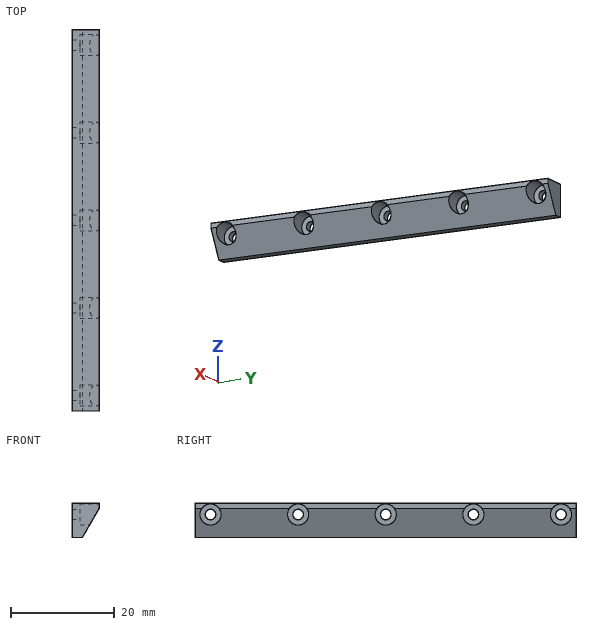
import cadquery as cq
import math

length = 74.0
height = 6.66
bottom_width = 2.0
lip_height = 1.0
slope_angle = 30.0
top_width = bottom_width + (height - lip_height) * math.tan(math.radians(slope_angle))

hole_diameter = 2.0
hole_count = 5
hole_end_margin = 3.0
hole_depth_from_top = 2.2
hole_pitch = (length - 2 * hole_end_margin) / (hole_count - 1)

head_diameter = 4.1
seat_thickness = 1.5


def make_bar():
    """Extrude the section along Y, centred on Y = 0, with its back face at X = 0."""
    section = [
        (0, 0),
        (bottom_width, 0),
        (top_width, height - lip_height),
        (top_width, height),
        (0, height),
    ]
    return cq.Workplane("XZ").polyline(section).close().extrude(length / 2, both=True)


def make_cylinder_row(diameter, start_x):
    """Return one cylinder per hole, running along +X from start_x to the widest point."""
    first_y = -length / 2 + hole_end_margin
    centres = [(first_y + i * hole_pitch, height - hole_depth_from_top) for i in range(hole_count)]
    return (
        cq.Workplane("YZ", origin=(start_x, 0, 0))
        .pushPoints(centres)
        .circle(diameter / 2)
        .extrude(top_width - start_x)
    )


screw_holes = make_cylinder_row(hole_diameter, 0)
head_recesses = make_cylinder_row(head_diameter, seat_thickness)
result = make_bar().cut(screw_holes).cut(head_recesses)